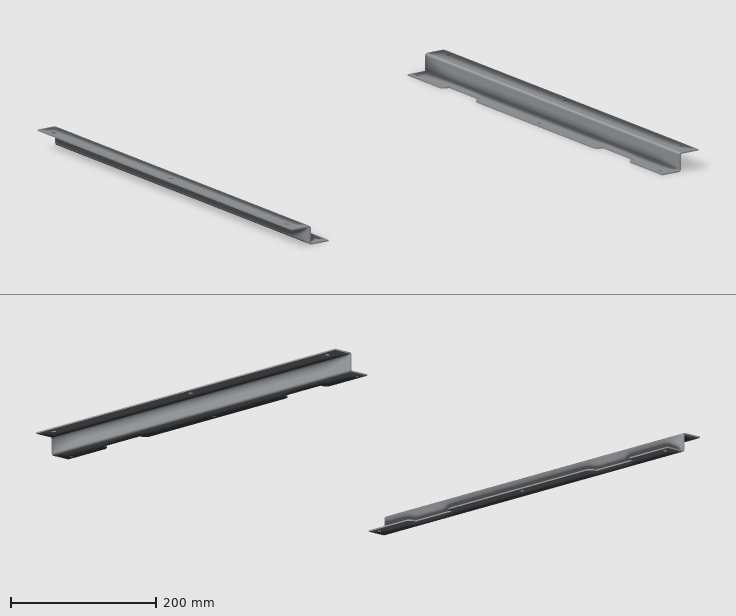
import cadquery as cq

rail_length = 605.5
overall_width = 686.0
rail_height = 27.5

rail_depth = 61.0
sheet = 2.0
inner_bend_radius = 1.25
outer_bend_radius = inner_bend_radius + sheet
web_front = (rail_depth - sheet) / 2

upper_hole_diameter = 7.0
upper_hole_spacing = 277.0
upper_hole_edge = 9.5

lower_hole_diameter = 5.55
lower_hole_spacing = 289.5
lower_hole_edge = 7.5

notch_width = 74.0
notch_depth = 11.0
notch_center = 183.0
notch_corner_radius = 8.0


def bent_sheet():
    """Z-bent strip along X, lower flange edge at Y = 0, underside at Z = 0."""
    web_back = web_front + sheet
    strip = (
        cq.Workplane("YZ")
        .moveTo(0, 0)
        .lineTo(web_back, 0)
        .lineTo(web_back, rail_height - sheet)
        .lineTo(rail_depth, rail_height - sheet)
        .lineTo(rail_depth, rail_height)
        .lineTo(web_front, rail_height)
        .lineTo(web_front, sheet)
        .lineTo(0, sheet)
        .close()
        .extrude(rail_length / 2, both=True)
    )
    inner_bends = [(web_front, sheet), (web_back, rail_height - sheet)]
    outer_bends = [(web_back, 0), (web_front, rail_height)]
    for corners, radius in ((inner_bends, inner_bend_radius), (outer_bends, outer_bend_radius)):
        for y, z in corners:
            bend_edge = cq.selectors.NearestToPointSelector((0, y, z))
            strip = strip.edges("|X").edges(bend_edge).fillet(radius)
    return strip


def hole_row(diameter, spacing, y):
    """Three vertical drills: one at mid-length and one at each end."""
    return (
        cq.Workplane("XY")
        .pushPoints([(-spacing, y), (0, y), (spacing, y)])
        .circle(diameter / 2)
        .extrude(rail_height)
    )


def notch(center_x):
    """Cutter for an edge notch whose mouth corners are rounded outward."""
    half_width = notch_width / 2
    half_mouth = half_width + notch_corner_radius
    radius = notch_corner_radius
    return (
        cq.Workplane("XY")
        .moveTo(center_x - half_mouth, 0)
        .radiusArc((center_x - half_width, radius), -radius)
        .lineTo(center_x - half_width, notch_depth)
        .lineTo(center_x + half_width, notch_depth)
        .lineTo(center_x + half_width, radius)
        .radiusArc((center_x + half_mouth, 0), -radius)
        .close()
        .extrude(rail_height)
    )


def rail():
    """One rail centred on X and Z, flange edge with the notches at Y = 0."""
    body = bent_sheet()
    body = body.cut(hole_row(upper_hole_diameter, upper_hole_spacing, rail_depth - upper_hole_edge))
    body = body.cut(hole_row(lower_hole_diameter, lower_hole_spacing, lower_hole_edge))
    for side in (-1, 1):
        body = body.cut(notch(side * notch_center))
    return body.translate((0, 0, -rail_height / 2))


rails = []
for turn in (0, 180):
    placed = rail().translate((0, overall_width / 2 - rail_depth, 0))
    rails.append(placed.rotate((0, 0, 0), (0, 0, 1), turn))

result = cq.Compound.makeCompound([body.val() for body in rails])